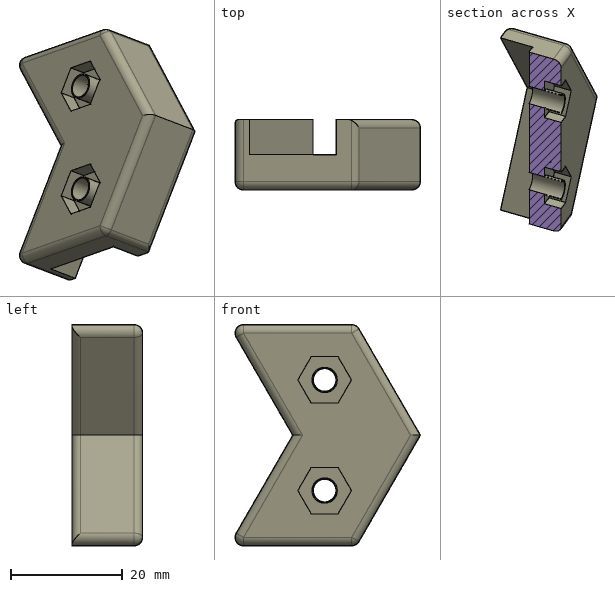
import cadquery as cq
import math

height = 39.69
thickness = 12.7
edge_radius = 1.524
arm_angle = 60.0
arm_height = height / 2
arm_run = arm_height / math.tan(math.radians(arm_angle))
arm_width = arm_height

wall_thickness = 3.175
channel_depth = thickness / 2

hole_diameter = 4.05
sleeve_diameter = 4.54
nut_across_flats = 8.334
nut_sides = 6
nut_across_corners = nut_across_flats / math.cos(math.pi / nut_sides)
nut_pocket_depth = 3.3
hole_z = arm_height / 2


def along_x(square_distance):
    """Distance along X for a distance measured square to a slanted side."""
    return square_distance / math.sin(math.radians(arm_angle))


def front_plane(y):
    """Plane at the given Y, with local X along X, local Y along Z and its normal along -Y."""
    return cq.Workplane("XZ", origin=(0, y, 0))


def chevron(notch_x, tip_x, front_y, back_y):
    """Chevron prism whose slanted sides cross Z = 0 at notch_x and tip_x."""
    outline = [
        (notch_x, 0),
        (notch_x - arm_run, arm_height),
        (tip_x - arm_run, arm_height),
        (tip_x, 0),
        (tip_x - arm_run, -arm_height),
        (notch_x - arm_run, -arm_height),
    ]
    return front_plane(back_y).polyline(outline).close().extrude(back_y - front_y)


tip_x = along_x(arm_width)
wall_x = along_x(wall_thickness)
hole_x = (tip_x - arm_run) / 2


def make_body():
    """Chevron block with every edge rounded but the flat ends' rear edges and the Z = 0 edges."""
    block = chevron(0, tip_x, 0, thickness)
    rear_end_edges = block.faces(">Y").edges("|X")
    middle_edges = block.edges("|Y").filter(lambda edge: abs(edge.Center().z) < edge_radius)
    sharp_edges = rear_end_edges.vals() + middle_edges.vals()
    rounded = block.edges().filter(lambda edge: not any(edge.isSame(other) for other in sharp_edges))
    return rounded.fillet(edge_radius)


def make_channel():
    return chevron(wall_x, tip_x - wall_x, thickness - channel_depth, thickness)


def make_nut_pocket(z):
    """Hexagonal pocket in the front face that leaves a round sleeve standing around the hole."""
    center = front_plane(nut_pocket_depth).center(hole_x, z)
    hexagon = center.polygon(nut_sides, nut_across_corners).extrude(nut_pocket_depth)
    sleeve = center.circle(sleeve_diameter / 2).extrude(nut_pocket_depth)
    return hexagon.cut(sleeve)


def make_screw_hole(z):
    return front_plane(thickness).center(hole_x, z).circle(hole_diameter / 2).extrude(thickness)


result = make_body().cut(make_channel())
for z in (hole_z, -hole_z):
    result = result.cut(make_nut_pocket(z)).cut(make_screw_hole(z))